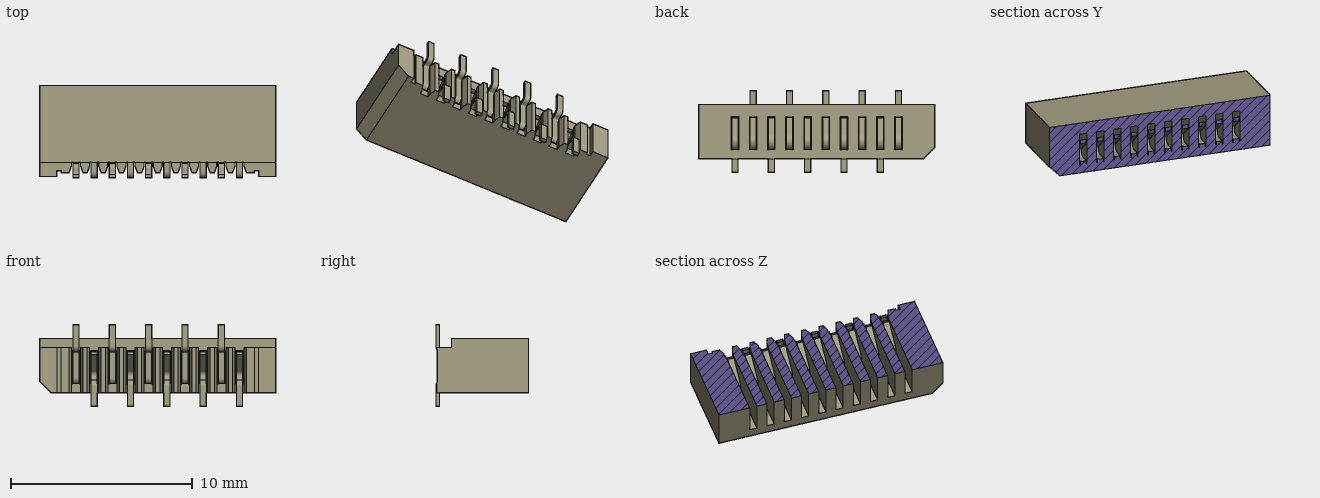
import cadquery as cq
import math


length = 13.0
contact_count = 10
pitches_per_length = 13
pitch = length / pitches_per_length
height = 3.0
wall_to_back = 4.25
ledge_reach = 0.78
ledge_drop = 0.51
corner_chamfer = 0.62

rib_reach = 0.57
rib_straight = 0.21
slot_width = 0.5
slot_mouth_width = 0.77
end_block_width = 0.95
notch_width = 0.23
notch_reach = 0.45

passage_width = 0.4
passage_floor = -1.0
passage_ceiling = 0.8

strip_width = 0.35
strip_thickness = 0.2
bend_inner_radius = 0.1
loop_inner_radius = 0.26
bend_radius = bend_inner_radius + strip_thickness / 2
loop_radius = loop_inner_radius + strip_thickness / 2
tip_y = 0.15
tip_z = 0.69
arm_slope = math.radians(40)
lead_face_reach = 0.85
lead_end_z = 2.25
riser_face_reach = 0.26
upper_run_underside = 0.75

top_z = height / 2
bottom_z = -height / 2
ledge_z = top_z - ledge_drop
half_length = length / 2
first_contact_x = -pitch * (contact_count - 1) / 2
contact_xs = [first_contact_x + i * pitch for i in range(contact_count)]


def vertical_prism(outline):
    """Closed XY outline raised from the underside to the ledge."""
    return (
        cq.Workplane("XY")
        .workplane(offset=bottom_z)
        .polyline(outline)
        .close()
        .extrude(ledge_z - bottom_z)
    )


def make_body():
    """Main block with the full-length ledge in front of its wall."""
    block = cq.Workplane("XY").box(length, wall_to_back, height, centered=(True, False, True))
    ledge = vertical_prism([
        (-half_length, 0),
        (half_length, 0),
        (half_length, -ledge_reach),
        (-half_length, -ledge_reach),
    ])
    return block.union(ledge)


def trim_ledge():
    """Material removed so that the ribs stand back between the two end blocks."""
    block_x = half_length - end_block_width
    notch_x = block_x - notch_width
    return vertical_prism([
        (-block_x, -ledge_reach),
        (-block_x, -notch_reach),
        (-notch_x, -notch_reach),
        (-notch_x, -rib_reach),
        (notch_x, -rib_reach),
        (notch_x, -notch_reach),
        (block_x, -notch_reach),
        (block_x, -ledge_reach),
    ])


def contact_slot(x):
    """Slot between two ribs, flaring towards its mouth."""
    return vertical_prism([
        (x - slot_width / 2, 0),
        (x - slot_width / 2, -rib_straight),
        (x - slot_mouth_width / 2, -rib_reach),
        (x + slot_mouth_width / 2, -rib_reach),
        (x + slot_width / 2, -rib_straight),
        (x + slot_width / 2, 0),
    ])


def contact_passage(x):
    """Rectangular passage from the wall behind a slot through to the back."""
    passage_height = passage_ceiling - passage_floor
    return (
        cq.Workplane("XY", origin=(x, 0, passage_floor))
        .box(passage_width, wall_to_back, passage_height, centered=(True, False, False))
    )


def corner_cut():
    """Polarising chamfer along the lower -X edge."""
    return (
        cq.Workplane("XZ", origin=(0, wall_to_back, 0))
        .moveTo(-half_length, bottom_z)
        .lineTo(-half_length + corner_chamfer, bottom_z)
        .lineTo(-half_length, bottom_z + corner_chamfer)
        .close()
        .extrude(wall_to_back + ledge_reach)
    )


def loop_path(x):
    """Middle line from the contact tip, down the sloping arm and round the loop to the passage floor."""
    floor_z = passage_floor + strip_thickness / 2
    center_z = floor_z + loop_radius
    arm_foot_z = center_z + loop_radius * math.cos(arm_slope)
    arm_foot_y = tip_y + (tip_z - arm_foot_z) / math.tan(arm_slope)
    center_y = arm_foot_y - loop_radius * math.sin(arm_slope)
    return (
        cq.Workplane("YZ", origin=(x, 0, 0))
        .moveTo(tip_y, tip_z)
        .lineTo(arm_foot_y, arm_foot_z)
        .threePointArc((center_y + loop_radius, center_z), (center_y, floor_z))
    )


def sweep_strip(path, x):
    """Strip of constant section along a path that starts at the tip."""
    arm_direction = (0, math.cos(arm_slope), -math.sin(arm_slope))
    section = cq.Plane(origin=(x, tip_y, tip_z), xDir=(1, 0, 0), normal=arm_direction)
    return cq.Workplane(section).rect(strip_width, strip_thickness).sweep(path)


def lower_contact(x):
    """Contact whose lead bends straight down from the passage floor."""
    lead_y = -lead_face_reach + strip_thickness / 2
    path = (
        loop_path(x)
        .hLineTo(lead_y + bend_radius)
        .tangentArcPoint((-bend_radius, -bend_radius))
        .vLineTo(-lead_end_z)
    )
    return sweep_strip(path, x)


def upper_contact(x):
    """Contact that rises in front of the wall, steps over the slot and turns up into its lead."""
    lead_y = -lead_face_reach + strip_thickness / 2
    riser_y = -riser_face_reach + strip_thickness / 2
    run_z = upper_run_underside + strip_thickness / 2
    path = (
        loop_path(x)
        .hLineTo(riser_y + bend_radius)
        .tangentArcPoint((-bend_radius, bend_radius))
        .vLineTo(run_z - bend_radius)
        .tangentArcPoint((-bend_radius, bend_radius))
        .hLineTo(lead_y + bend_radius)
        .tangentArcPoint((-bend_radius, bend_radius))
        .vLineTo(lead_end_z)
    )
    return sweep_strip(path, x)


result = make_body().cut(trim_ledge()).cut(corner_cut())
for x in contact_xs:
    result = result.cut(contact_slot(x)).cut(contact_passage(x))

for x in contact_xs[0::2]:
    result = result.union(upper_contact(x))
for x in contact_xs[1::2]:
    result = result.union(lower_contact(x))